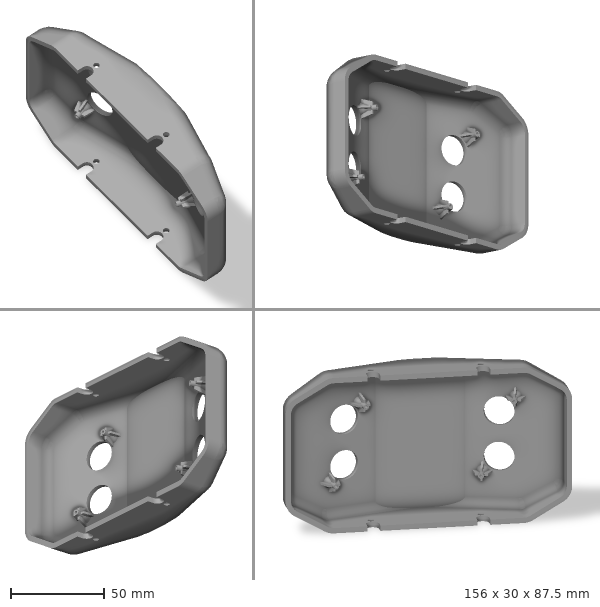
import cadquery as cq
import math

length = 156.0
depth = 30.0
height = 87.5
wall = 3.0

end_half_height = 30.1
bevel_angle = 30.0
corner_radius = 10.0

roof_angle = 15.2
roof_outer_radius = corner_radius
roof_inner_radius = 5.0

crown_middle_radius = 5.1
crown_end_radius = 7.8
crown_half_length = 24.8
crown_middle_half_length = 6.0

port_diameter = 16.5
port_x = 42.1
port_z = 12.8

boss_shift_x = 8.6
boss_shift_z = 8.5
boss_height = 9.0
boss_cone_height = 3.9
boss_tip_diameter = 3.1
boss_base_diameter = 6.9
boss_hole_diameter = 1.5
rib_span = 10.9
rib_top_span = 6.9
rib_height = 6.5
rib_thickness = 1.2

notch_x = 30.0
notch_width = 7.0
notch_depth = 7.0
pin_hole_diameter = 3.5
pin_hole_y = 10.0

half_length = length / 2
half_height = height / 2
roof_tan = math.tan(math.radians(roof_angle))
roof_cos = math.cos(math.radians(roof_angle))
roof_sin = math.sin(math.radians(roof_angle))
ridge_y = depth + crown_half_length * roof_tan
inner_ridge_y = ridge_y - wall / roof_cos


def outline_prism(inset):
    """Rounded outline, moved inwards by the inset and extruded along +Y past the ridge."""
    bevel_half_length = half_length - (half_height - end_half_height) / math.tan(math.radians(bevel_angle))
    corners = [
        (half_length, end_half_height),
        (bevel_half_length, half_height),
        (-bevel_half_length, half_height),
        (-half_length, end_half_height),
        (-half_length, -end_half_height),
        (-bevel_half_length, -half_height),
        (bevel_half_length, -half_height),
        (half_length, -end_half_height),
    ]
    outline = cq.Workplane("XZ").polyline(corners).close()
    if inset:
        outline = outline.offset2D(-inset)
    prism = outline.extrude(-ridge_y)
    return prism.edges("|Y").fillet(corner_radius - inset)


def roofed_body(inset, top_y, edge_radius):
    """Outline prism under two slopes that meet at height top_y over X = 0, with rounded slope edges."""
    eave_y = top_y - length * roof_tan
    gable = (
        cq.Workplane("XY")
        .polyline([(-length, 0), (-length, eave_y), (0, top_y), (length, eave_y), (length, 0)])
        .close()
        .extrude(height, both=True)
    )
    body = outline_prism(inset).intersect(gable)
    slope_faces = [face for face in body.faces().vals() if face.normalAt().y > roof_sin]
    rim_edges = [edge for face in slope_faces for edge in face.Edges() if abs(edge.Center().x) > wall]
    return body.newObject(rim_edges).fillet(edge_radius)


def crown_section(x, edge_radius):
    """Cross-section of the crown block at x: a rectangle with its two +Y corners rounded."""
    arc_gap = edge_radius * (1 - math.sqrt(0.5))
    return (
        cq.Workplane("YZ", origin=(x, 0, 0))
        .moveTo(0, -half_height)
        .lineTo(depth - edge_radius, -half_height)
        .threePointArc((depth - arc_gap, arc_gap - half_height), (depth, edge_radius - half_height))
        .lineTo(depth, half_height - edge_radius)
        .threePointArc((depth - arc_gap, half_height - arc_gap), (depth - edge_radius, half_height))
        .lineTo(0, half_height)
        .close()
        .val()
    )


def crown_block():
    """Block that cuts the roof flat, its long edges tapering from the crown ends to its middle."""
    stations = [
        (-half_length, crown_end_radius),
        (-crown_half_length, crown_end_radius),
        (-crown_middle_half_length, crown_middle_radius),
        (crown_middle_half_length, crown_middle_radius),
        (crown_half_length, crown_end_radius),
        (half_length, crown_end_radius),
    ]
    sections = [crown_section(x, edge_radius) for x, edge_radius in stations]
    return cq.Workplane(cq.Solid.makeLoft(sections, True))


def roof_plane(side, x, z):
    """Plane on the inner roof face of one side (-1 or 1), its normal pointing into the shell."""
    return cq.Plane(
        origin=(side * x, inner_ridge_y - x * roof_tan, z),
        xDir=(roof_cos, -side * roof_sin, 0),
        normal=(-side * roof_sin, -roof_cos, 0),
    )


def port_cutter(side, z):
    """Round cutter through the sloped roof."""
    return cq.Workplane(roof_plane(side, port_x, z)).circle(port_diameter / 2).extrude(2 * wall, both=True)


def screw_boss(plane):
    """Conical boss with four gusset ribs and a cored tip, standing on the given plane."""
    base_radius = boss_base_diameter / 2
    tip_radius = boss_tip_diameter / 2
    root = wall / 2
    axis_section = cq.Plane(origin=plane.origin, xDir=plane.xDir, normal=-plane.yDir)
    boss = (
        cq.Workplane(axis_section)
        .polyline(
            [
                (0, -root),
                (base_radius, -root),
                (base_radius, 0),
                (tip_radius, boss_cone_height),
                (tip_radius, boss_height),
                (0, boss_height),
            ]
        )
        .close()
        .revolve(360, (0, 0, 0), (0, 1, 0))
    )
    rib = (
        cq.Workplane(axis_section)
        .polyline(
            [
                (-rib_span / 2, -root),
                (rib_span / 2, -root),
                (rib_span / 2, 0),
                (rib_top_span / 2, rib_height),
                (-rib_top_span / 2, rib_height),
                (-rib_span / 2, 0),
            ]
        )
        .close()
        .extrude(rib_thickness / 2, both=True)
    )
    cross_rib = rib.rotate(plane.origin, plane.origin + plane.zDir, 90)
    hole = cq.Workplane(plane).circle(boss_hole_diameter / 2).extrude(boss_height)
    return boss.union(rib).union(cross_rib).cut(hole)


def side_wall_cutter(x):
    """Round-ended notch from the rim and the small hole above it, through both side walls."""
    notch_radius = notch_width / 2
    notch_end_y = notch_depth - notch_radius
    pin_radius = pin_hole_diameter / 2
    axis = cq.Workplane("XY").center(x, 0)
    notch = axis.rect(notch_width, 2 * notch_end_y).extrude(height, both=True)
    notch_end = axis.center(0, notch_end_y).circle(notch_radius).extrude(height, both=True)
    pin_hole = axis.center(0, pin_hole_y).circle(pin_radius).extrude(height, both=True)
    return notch.union(notch_end).union(pin_hole)


outer = roofed_body(0, ridge_y, roof_outer_radius).intersect(crown_block())
inner_crown = cq.Workplane("XY").box(length, depth - wall, height, centered=(True, False, True))
cavity = roofed_body(wall, inner_ridge_y, roof_inner_radius).intersect(inner_crown)
result = outer.cut(cavity)

for side in (-1, 1):
    for port_side in (-1, 1):
        result = result.cut(port_cutter(side, port_side * port_z))
    result = result.cut(side_wall_cutter(side * notch_x))

for side in (-1, 1):
    for boss_side in (-1, 1):
        boss_x = port_x + side * boss_side * boss_shift_x
        boss_z = boss_side * (port_z + boss_shift_z)
        result = result.union(screw_boss(roof_plane(side, boss_x, boss_z)))